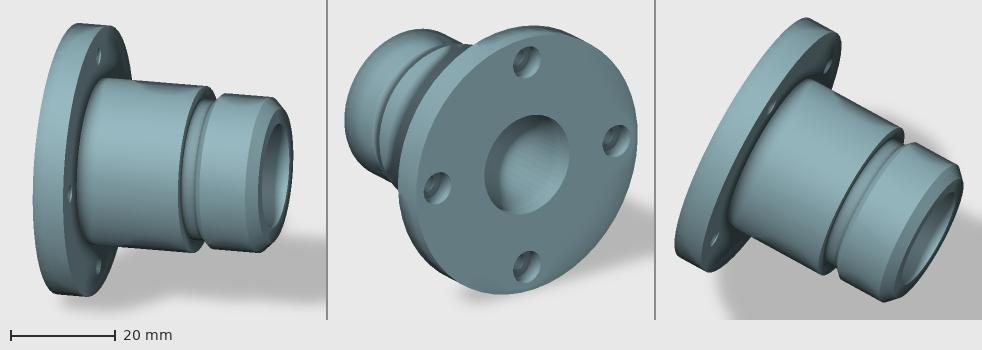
import cadquery as cq
import math

flange_thickness = 6.0
body_length = 20.0
neck_length = 2.5
total_length = 41.0
end_chamfer = 2.0

flange_diameter = 52.0
body_diameter = 32.0
neck_diameter = 27.0
head_diameter = 29.9
bore_diameter = 20.0

hole_count = 4
hole_circle_radius = 21.0
hole_diameter = 3.4
counterbore_diameter = 6.5
counterbore_depth = 3.4


def make_turned_body():
    """Revolve the flanged, grooved bushing about the X axis."""
    body_end = flange_thickness + body_length
    neck_end = body_end + neck_length
    flange_radius = flange_diameter / 2
    body_radius = body_diameter / 2
    neck_radius = neck_diameter / 2
    head_radius = head_diameter / 2
    bore_radius = bore_diameter / 2
    shoulder_end = neck_end + head_radius - neck_radius
    profile = [
        (0, bore_radius),
        (0, flange_radius),
        (flange_thickness, flange_radius),
        (flange_thickness, body_radius),
        (body_end, body_radius),
        (body_end, neck_radius),
        (neck_end, neck_radius),
        (shoulder_end, head_radius),
        (total_length - end_chamfer, head_radius),
        (total_length, head_radius - end_chamfer),
        (total_length, bore_radius),
    ]
    section = cq.Workplane("XZ").polyline(profile).close()
    return section.revolve(360, (0, 0, 0), (1, 0, 0))


def make_mounting_hole(angle):
    """Cutter for one through hole with a counterbore on the outer flange face."""
    y = hole_circle_radius * math.cos(angle)
    z = hole_circle_radius * math.sin(angle)
    face = cq.Workplane("YZ").center(y, z)
    through_hole = face.circle(hole_diameter / 2).extrude(flange_thickness)
    counterbore = face.circle(counterbore_diameter / 2).extrude(counterbore_depth)
    return through_hole.union(counterbore)


result = make_turned_body()
angle_step = 2 * math.pi / hole_count
for index in range(hole_count):
    result = result.cut(make_mounting_hole(index * angle_step))